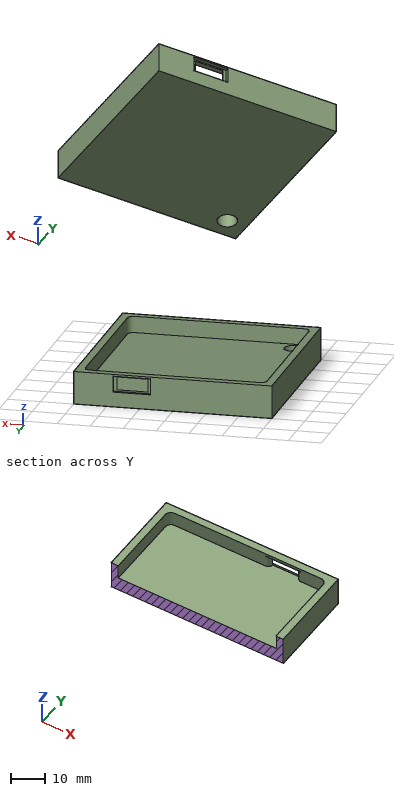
import cadquery as cq

side = 60.0
height = 10.0

wall = 2.5
pocket_depth = 5.0
pocket_corner_radius = 2.0
pocket_side = side - 2 * wall
floor_top = height - pocket_depth

hole_diameter = 6.0
hole_offset = 6.5

window_left = 37.75
window_right = 47.1
window_lintel = 1.0
window_flare = 1.5
window_height = pocket_depth - window_lintel

lip_thickness = window_flare
recess_depth = wall - lip_thickness
recess_side_margin = 1.0
recess_end_margin = 0.5


def make_pocket():
    """Square tray cavity with rounded vertical corners."""
    return (
        cq.Workplane("XY", origin=(side / 2, side / 2, floor_top))
        .rect(pocket_side, pocket_side)
        .extrude(pocket_depth)
        .edges("|Z")
        .fillet(pocket_corner_radius)
    )


def make_floor_hole():
    """Cylinder that pierces the tray floor."""
    return cq.Workplane("XY").center(hole_offset, hole_offset).circle(hole_diameter / 2).extrude(height)


def make_window():
    """Wall opening whose two upright edges on the tray side are rounded outwards."""
    inner_y = side - wall
    lip_y = inner_y + window_flare
    return (
        cq.Workplane("XY", origin=(0, 0, floor_top))
        .moveTo(window_left - window_flare, inner_y)
        .radiusArc((window_left, lip_y), -window_flare)
        .lineTo(window_left, side)
        .lineTo(window_right, side)
        .lineTo(window_right, lip_y)
        .radiusArc((window_right + window_flare, inner_y), -window_flare)
        .close()
        .extrude(window_height)
    )


def make_window_recess():
    """Rectangular recess in the outer +Y face, larger than the window all round."""
    width = window_right - window_left + 2 * recess_side_margin
    recess_height = window_height + 2 * recess_end_margin
    corner = (window_left - recess_side_margin, side - recess_depth, floor_top - recess_end_margin)
    return cq.Workplane("XY", origin=corner).box(width, recess_depth, recess_height, centered=False)


block = cq.Workplane("XY").box(side, side, height, centered=False)
tray = block.cut(make_pocket()).cut(make_floor_hole())
result = tray.cut(make_window()).cut(make_window_recess())